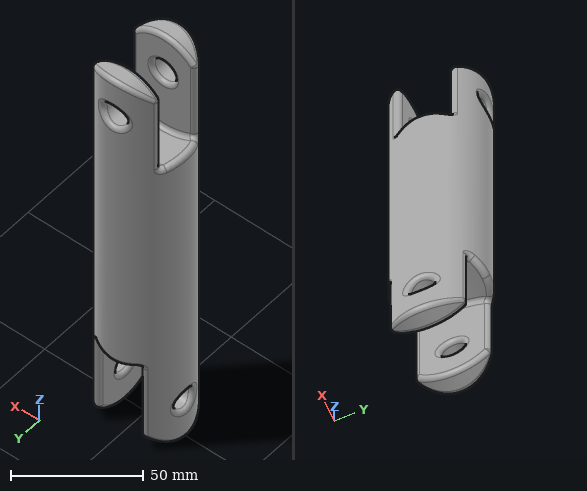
import cadquery as cq

body_diameter = 40.0
body_length = 200.0
slot_width = 20.0
edge_radius = 2.0
top_hole_diameter = 11.12
bottom_hole_diameter = 10.0
floor_clearance = 10.0

body_radius = body_diameter / 2
half_length = body_length / 2
end_radius = body_radius
floor_radius = end_radius + floor_clearance
pin_height = half_length - end_radius
through_length = 2 * body_diameter


def cylinder_on_pin_axis(radius, length):
    """Cylinder along Y on the pin axis, centred on the XZ plane."""
    return (
        cq.Workplane("XZ", origin=(0, 0, pin_height))
        .circle(radius)
        .extrude(length / 2, both=True)
    )


def block_above(height, width_x, width_y, length):
    """Block centred on the Z axis, rising from the given height."""
    return cq.Workplane("XY", origin=(0, 0, height)).box(
        width_x, width_y, length, centered=(True, True, False)
    )


def rounded_tip_shaft():
    """Upper half of the round body, its end rounded about the pin axis."""
    shaft = cq.Workplane("XY").circle(body_radius).extrude(half_length)
    below_pin = block_above(0, body_diameter, body_diameter, pin_height)
    around_pin = cylinder_on_pin_axis(end_radius, body_diameter)
    return shaft.intersect(below_pin.union(around_pin))


def fork_slot():
    """Slot along X with straight walls and a concave floor about the pin axis."""
    return cylinder_on_pin_axis(floor_radius, slot_width)


def fork(hole_diameter):
    """Upper half of the body: a fork slotted along X with a pin hole along Y."""
    pin_hole = cylinder_on_pin_axis(hole_diameter / 2, through_length)
    sharp_fork = rounded_tip_shaft().cut(fork_slot()).cut(pin_hole)

    join_circle = cq.selectors.DirectionMinMaxSelector(cq.Vector(0, 0, 1), directionMax=False)
    rounded_edges = cq.selectors.InverseSelector(join_circle)
    return sharp_fork.edges(rounded_edges).fillet(edge_radius)


top_fork = fork(top_hole_diameter)
bottom_fork = (
    fork(bottom_hole_diameter)
    .rotate((0, 0, 0), (1, 0, 0), 180)
    .rotate((0, 0, 0), (0, 0, 1), 90)
)

result = top_fork.union(bottom_fork, clean=True)